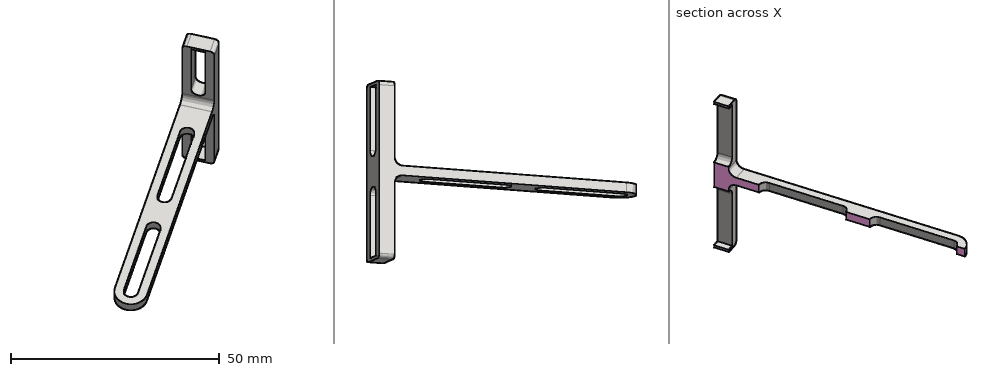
import cadquery as cq

width = 8.0
plate_height = 43.25
plate_thickness = 4.0
plate_corner_radius = 1.1
arm_reach = 68.0
arm_thickness = 2.4
root_fillet_radius = 2.0

slot_width = 3.5
slot_radius = slot_width / 2
arm_slot_length = 23.5
arm_slot_pitch = 30.0
plate_slot_end_wall = 0.8
plate_slot_root_gap = 0.5

half_width = width / 2
half_height = plate_height / 2
tip_center_y = half_width - arm_reach
outer_slot_center_y = tip_center_y + arm_slot_length / 2 - slot_radius
plate_slot_outer_z = half_height - plate_slot_end_wall
plate_slot_inner_z = arm_thickness / 2 + root_fillet_radius + plate_slot_root_gap


def make_plate():
    """Upright plate with its four corners rounded."""
    plate = cq.Workplane("XY").box(width, plate_thickness, plate_height)
    plate = plate.translate((0, -plate_thickness / 2, 0))
    return plate.edges("|Y").fillet(plate_corner_radius)


def make_arm():
    """Flat arm running from the back of the plate to a full-round tip."""
    return (
        cq.Workplane("XY")
        .workplane(offset=-arm_thickness / 2)
        .moveTo(-half_width, 0)
        .lineTo(-half_width, tip_center_y)
        .threePointArc((0, -arm_reach), (half_width, tip_center_y))
        .lineTo(half_width, 0)
        .close()
        .extrude(arm_thickness)
    )


def make_root_fillet(side):
    """Concave fillet strip between plate and arm; side is +1 above the arm, -1 below."""
    front_y = -plate_thickness
    face_z = side * arm_thickness / 2
    center_y = front_y - root_fillet_radius
    center_z = face_z + side * root_fillet_radius
    diagonal = root_fillet_radius / 2**0.5
    return (
        cq.Workplane("YZ")
        .moveTo(front_y, face_z)
        .lineTo(front_y, center_z)
        .threePointArc(
            (center_y + diagonal, center_z - side * diagonal),
            (center_y, face_z),
        )
        .close()
        .extrude(half_width, both=True)
    )


def make_arm_slot(center_y):
    """Cutter for a round-ended slot through the arm."""
    return (
        cq.Workplane("XY")
        .center(0, center_y)
        .slot2D(arm_slot_length, slot_width, 90)
        .extrude(arm_thickness, both=True)
    )


def make_plate_slot(side):
    """Cutter for a plate slot: square at the plate end, round next to the arm."""
    outer_z = side * plate_slot_outer_z
    round_end_z = side * plate_slot_inner_z
    round_start_z = side * (plate_slot_inner_z + slot_radius)
    return (
        cq.Workplane("XZ")
        .moveTo(-slot_radius, outer_z)
        .lineTo(-slot_radius, round_start_z)
        .threePointArc((0, round_end_z), (slot_radius, round_start_z))
        .lineTo(slot_radius, outer_z)
        .close()
        .extrude(plate_thickness)
    )


result = make_plate().union(make_arm())
for side in (1, -1):
    result = result.union(make_root_fillet(side))
for side in (1, -1):
    result = result.cut(make_plate_slot(side))
for slot_index in range(2):
    result = result.cut(make_arm_slot(outer_slot_center_y + slot_index * arm_slot_pitch))